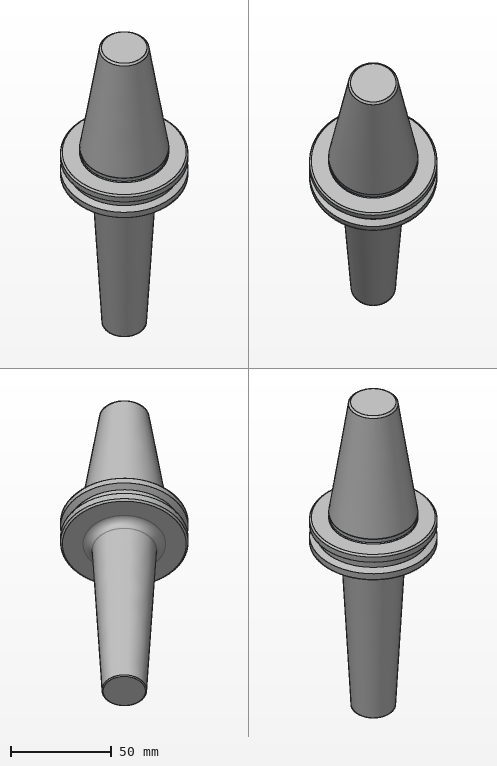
import cadquery as cq
import math

total_length = 188.4
taper_length = 68.4
nose_z = taper_length - total_length

gauge_radius = 22.2
taper_rate = 7 / 24
shank_end_radius = gauge_radius - taper_length * taper_rate / 2
shank_chamfer = 1.0

neck_radius = 21.9
neck_flare = 0.5

flange_radius = 63.5 / 2
flange_top_z = -3.2
flange_bottom_z = -19.0
flange_chamfer = 1.0
groove_center_z = -11.0
groove_width = 7.2
groove_floor_radius = 28.5
groove_floor_width = 4.1

holder_root_radius = 16.0
holder_nose_radius = 11.1
nose_chamfer = 0.5
blend_radius = 4.5
blend_end_z = flange_bottom_z - blend_radius


def revolved_body():
    """Revolve the shank, neck, flange and holder about Z."""
    diagonal = blend_radius * (1 - math.sqrt(0.5))
    shank_profile = [
        (0, taper_length),
        (shank_end_radius - shank_chamfer, taper_length),
        (shank_end_radius + shank_chamfer * taper_rate / 2, taper_length - shank_chamfer),
        (gauge_radius, 0),
        (neck_radius, -neck_flare),
        (neck_radius, flange_top_z + neck_flare),
        (gauge_radius, flange_top_z),
    ]
    flange_profile = [
        (flange_radius - flange_chamfer, flange_top_z),
        (flange_radius, flange_top_z - flange_chamfer),
        (flange_radius, flange_bottom_z + flange_chamfer),
        (flange_radius - flange_chamfer, flange_bottom_z),
        (holder_root_radius + blend_radius, flange_bottom_z),
    ]
    nose_profile = [
        (holder_nose_radius, nose_z + nose_chamfer),
        (holder_nose_radius - nose_chamfer, nose_z),
        (0, nose_z),
    ]
    profile = (
        cq.Workplane("XZ")
        .polyline(shank_profile + flange_profile)
        .threePointArc(
            (holder_root_radius + diagonal, flange_bottom_z - diagonal),
            (holder_root_radius, blend_end_z),
        )
    )
    for point in nose_profile:
        profile = profile.lineTo(*point)
    return profile.close().revolve(360, (0, 0, 0), (0, 1, 0))


def gripper_groove():
    """Ring of material removed from the flange rim."""
    half_mouth = groove_width / 2
    half_floor = groove_floor_width / 2
    return (
        cq.Workplane("XZ")
        .polyline([
            (flange_radius, groove_center_z + half_mouth),
            (groove_floor_radius, groove_center_z + half_floor),
            (groove_floor_radius, groove_center_z - half_floor),
            (flange_radius, groove_center_z - half_mouth),
        ])
        .close()
        .revolve(360, (0, 0, 0), (0, 1, 0))
    )


result = revolved_body().cut(gripper_groove())